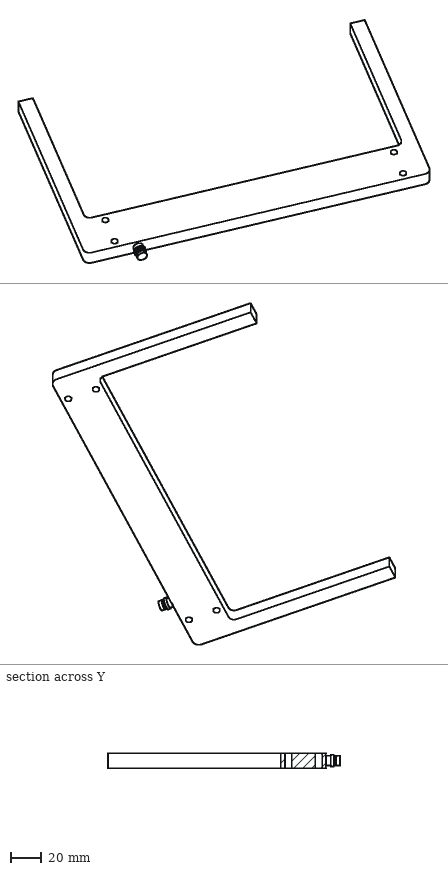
import cadquery as cq

frame_length = 240.0
frame_depth = 144.0
thickness = 10.0
arm_width = 10.0
spine_width = 30.0
outer_radius = 4.5
inner_radius = 4.0

hole_diameter = 4.3
hole_edge_distance = 5.0
hole_end_distance = 18.0
hole_pitch_x = 20.0
hole_pitch_y = 200.0

connector_y = 36.7
connector_embed = 1.0
connector_stages = [
    (6.7, 3.0),
    (8.0, 2.0),
    (5.8, 0.7),
    (6.7, 0.7),
    (5.8, 0.2),
    (6.7, 2.5),
]


def make_frame():
    opening_depth = frame_depth - spine_width
    opening_length = frame_length - 2 * arm_width
    body = cq.Workplane("XY").box(frame_depth, frame_length, thickness, centered=False)
    body = body.edges("|Z and >X").fillet(outer_radius)
    opening = (
        cq.Workplane("XY")
        .box(opening_depth + arm_width, opening_length, thickness, centered=False)
        .translate((-arm_width, arm_width, 0))
        .edges("|Z and >X")
        .fillet(inner_radius)
    )
    return body.cut(opening)


def make_mounting_holes():
    outer_x = frame_depth - hole_edge_distance
    upper_y = frame_length - hole_end_distance
    centres = [
        (x, y)
        for x in (outer_x - hole_pitch_x, outer_x)
        for y in (upper_y - hole_pitch_y, upper_y)
    ]
    return cq.Workplane("XY").pushPoints(centres).circle(hole_diameter / 2).extrude(thickness)


def connector_stage(start_x, diameter, length):
    return (
        cq.Workplane("YZ", origin=(start_x, connector_y, thickness / 2))
        .circle(diameter / 2)
        .extrude(length)
    )


def make_connector():
    root_diameter = connector_stages[0][0]
    connector = connector_stage(frame_depth - connector_embed, root_diameter, connector_embed)
    start_x = frame_depth
    for diameter, length in connector_stages:
        connector = connector.union(connector_stage(start_x, diameter, length))
        start_x += length
    return connector


result = make_frame().cut(make_mounting_holes()).union(make_connector())